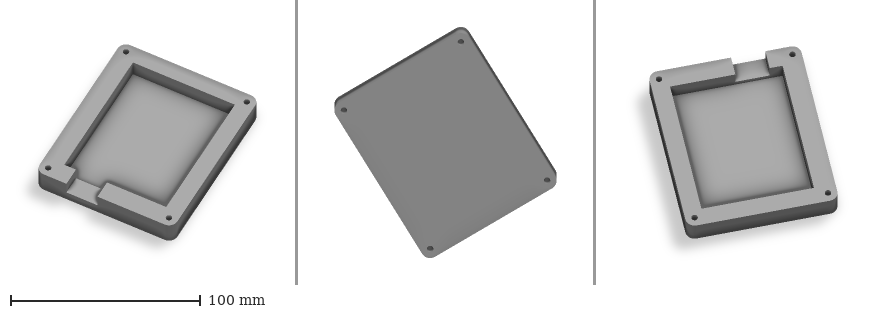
import cadquery as cq

width = 82.0
length = 98.0
height = 13.0
corner_radius = 5.0

hole_diameter = 3.4
hole_inset = corner_radius

left_wall = 11.6
right_wall = 9.7
front_wall = 10.8
back_wall = 9.6
pocket_depth = 10.0

notch_offset = 18.5
notch_width = 18.5
notch_depth = 7.35

left = -width / 2
front = -length / 2


def top_cutter(x_start, y_start, x_size, y_size, depth):
    """Box that reaches down from the top face, starting at its left front corner."""
    return (
        cq.Workplane("XY")
        .box(x_size, y_size, depth, centered=False)
        .translate((x_start, y_start, height - depth))
    )


block = (
    cq.Workplane("XY")
    .box(width, length, height, centered=(True, True, False))
    .edges("|Z")
    .fillet(corner_radius)
)

drilled_block = (
    block.faces(">Z")
    .workplane()
    .rect(width - 2 * hole_inset, length - 2 * hole_inset, forConstruction=True)
    .vertices()
    .hole(hole_diameter)
)

pocket_width = width - left_wall - right_wall
pocket_length = length - front_wall - back_wall
pocket = top_cutter(left + left_wall, front + front_wall, pocket_width, pocket_length, pocket_depth)
notch = top_cutter(left + notch_offset, front, notch_width, front_wall, notch_depth)

result = drilled_block.cut(pocket).cut(notch)